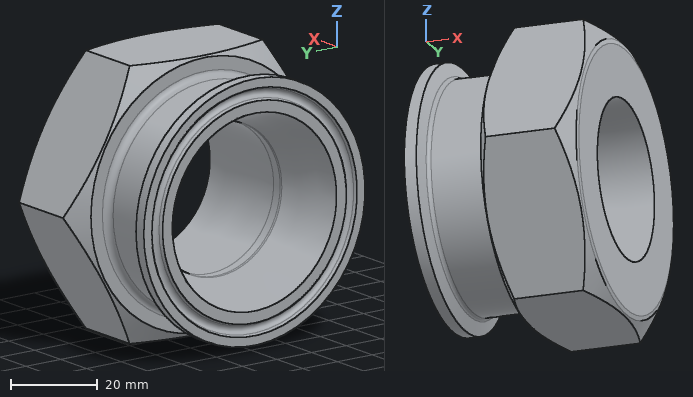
import cadquery as cq
import math

total_length = 42.9

flange_dia = 64.0
rim_width = 3.0
flange_back_angle = 18.0
neck_dia = 55.75
flange_fillet_radius = 1.0

hex_across_corners = 77.0
hex_start = 19.2
hex_face_dia = 65.75
hex_chamfer_angle = 30.0
hex_fillet_radius = 1.8
end_bevel_length = 0.2
end_face_dia = 63.5

groove_mean_dia = 56.2
groove_width = 3.1
groove_wall_angle = 27.0
groove_bottom_radius = 1.2

mouth_dia = 47.4
throat_dia = 36.9
mouth_length = 14.55
throat_fillet_radius = 1.55
thread_start = 17.3
thread_taper = 1 / 16


def revolve_about_x(outline):
    """Close an outline of (x, radius) points and revolve it about the X axis."""
    return outline.close().revolve(360, (0, 0, 0), (1, 0, 0))


def circle_edge(x, dia):
    """Select the circular edges at one place along the axis with one diameter."""
    margin = 0.1
    outer = dia / 2 + margin
    return cq.selectors.BoxSelector((x - margin, -outer, -outer), (x + margin, outer, outer), boundingbox=True)


def make_ferrule():
    """Clamp flange with a sloped back, filleted into the neck."""
    flange_radius = flange_dia / 2
    neck_radius = neck_dia / 2
    slope_length = (flange_radius - neck_radius) * math.tan(math.radians(flange_back_angle))
    neck_start = rim_width + slope_length
    ferrule = revolve_about_x(
        cq.Workplane("XY")
        .lineTo(0, flange_radius)
        .lineTo(rim_width, flange_radius)
        .lineTo(neck_start, neck_radius)
        .lineTo(hex_start, neck_radius)
        .lineTo(hex_start, 0)
    )
    return ferrule.edges(circle_edge(neck_start, neck_dia)).fillet(flange_fillet_radius)


def make_hex_nut():
    """Hexagonal prism with corners on +Y and -Y, with conical chamfers at both ends."""
    corner_radius = hex_across_corners / 2
    face_radius = hex_face_dia / 2
    chamfer_length = (corner_radius - face_radius) * math.tan(math.radians(hex_chamfer_angle))
    bevel_start = total_length - end_bevel_length
    prism = (
        cq.Workplane("YZ", origin=(hex_start, 0, 0))
        .polygon(6, hex_across_corners)
        .extrude(total_length - hex_start)
    )
    chamfered_blank = revolve_about_x(
        cq.Workplane("XY")
        .moveTo(hex_start, 0)
        .lineTo(hex_start, face_radius)
        .lineTo(hex_start + chamfer_length, corner_radius)
        .lineTo(bevel_start - chamfer_length, corner_radius)
        .lineTo(bevel_start, face_radius)
        .lineTo(total_length, end_face_dia / 2)
        .lineTo(total_length, 0)
    )
    return prism.intersect(chamfered_blank)


def make_bore():
    """Solid that fills the whole bore, with the mouth taper blended into the throat."""
    mouth_radius = mouth_dia / 2
    throat_radius = throat_dia / 2
    thread_end_radius = throat_radius + (total_length - thread_start) * thread_taper / 2
    bore = revolve_about_x(
        cq.Workplane("XY")
        .lineTo(0, mouth_radius)
        .lineTo(mouth_length, throat_radius)
        .lineTo(thread_start, throat_radius)
        .lineTo(total_length, thread_end_radius)
        .lineTo(total_length, 0)
    )
    return bore.edges(circle_edge(mouth_length, throat_dia)).fillet(throat_fillet_radius)


def make_groove():
    """Ring that fills the gasket groove."""
    mean_radius = groove_mean_dia / 2
    half_width = groove_width / 2
    wall = math.radians(groove_wall_angle)
    bottom_half_width = groove_bottom_radius * math.cos(wall)
    wall_depth = (half_width - bottom_half_width) / math.tan(wall)
    groove_depth = wall_depth + groove_bottom_radius * (1 - math.sin(wall))
    return revolve_about_x(
        cq.Workplane("XY")
        .moveTo(0, mean_radius - half_width)
        .lineTo(wall_depth, mean_radius - bottom_half_width)
        .threePointArc((groove_depth, mean_radius), (wall_depth, mean_radius + bottom_half_width))
        .lineTo(0, mean_radius + half_width)
    )


body = make_ferrule().union(make_hex_nut())
body = body.edges(circle_edge(hex_start, neck_dia)).fillet(hex_fillet_radius)
result = body.cut(make_bore()).cut(make_groove())